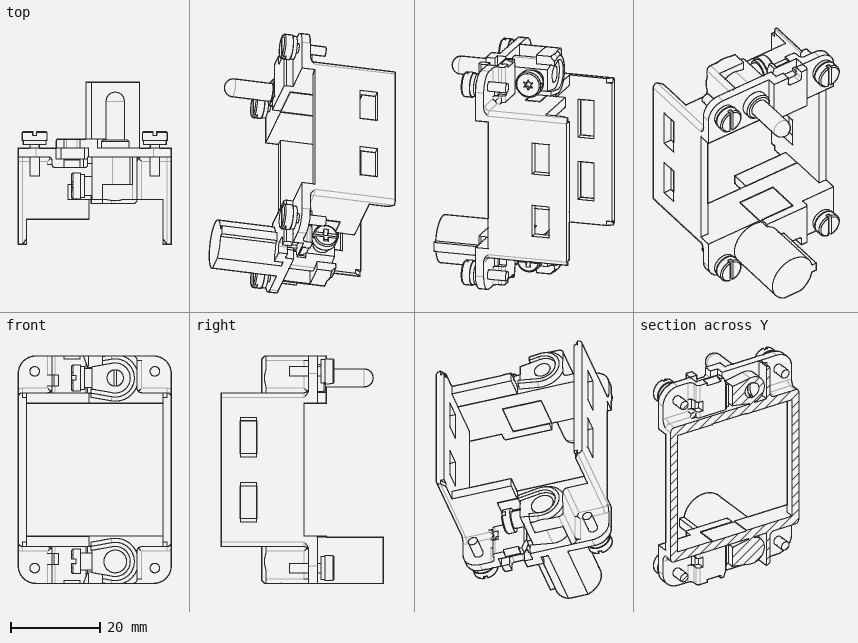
import cadquery as cq
import math

WIDTH = 34.3
HEIGHT = 51.0
HALF_WIDTH = WIDTH / 2
HALF_HEIGHT = HEIGHT / 2
BLEND = 1.0

FLANGE_THICKNESS = 1.95
FLANGE_CORNER_RADIUS = 4.0

WINDOW_HALF_WIDTH = 15.25
WINDOW_HALF_HEIGHT = 14.85
WALL_HALF_HEIGHT = 17.25
SIDE_WALL_BACK = -2.95
SIDE_WALL_FRONT = -21.5
BRIDGE_SPLIT_X = -1.3
BRIDGE_LONG_FRONT = -15.95
BRIDGE_SHORT_FRONT = -11.55
LEFT_LATCH_Y = (-17.35, -13.35)
LEFT_LATCH_Z = (3.65, 10.9)
RIGHT_LATCH_Y = (-17.25, -13.55)
RIGHT_LATCH_Z = (2.85, 11.75)
TONGUE_RELIEF = 0.1
RECESS_DEPTH = 0.15
FLOOR_RECESS_X = (-5.95, 3.1)
FLOOR_RECESS_FRONT = -7.75
TIP_NOTCH_LENGTH = 1.3
TIP_NOTCH_DEPTH = 0.9

CONTACT_X = 4.6
CONTACT_Z = 20.55
CONTACT_RADIUS = 3.35
CONTACT_LEFT = -0.6
CONTACT_TAPER = 10.0
GUARD_RADIUS = 5.2
GUARD_LEFT = -0.8
GUARD_BLOCK_LEFT = 1.8
GUARD_BACK = -8.1
GUARD_LIP = 0.9
RIB_RIGHT = 9.5
RIB_LEFT = 8.4
DRIVER_RECESS_LEFT = -5.95
PIN_SOCKET_RADIUS = 1.85
BUSH_SOCKET_RADIUS = 2.55
SOCKET_DEPTH = 6.1
DRIVER_SLOT_WIDTH = 0.6
DRIVER_SLOT_DEPTH = 2.55

PAD_LEFT = -9.55
PAD_RIGHT = -1.6
PAD_FRONT = -4.35
PAD_ROUND = 0.65
PAD_CHAMFER = 0.4
PAD_SLOPE_WIDTH = 0.95
PAD_SLOPE_HEIGHT = 2.55
PAD_NOTCH_RIGHT = -8.1
PAD_NOTCH_SLOPE = 0.4
PAD_NOTCH_Z = (18.75, 21.2)
PAD_NOTCH_BACK = -2.65
LABEL_SLOT_DEPTH = 0.65
FILLER_FRONT = -3.4
FILLER_TOP = 22.95
BLOCK_LEFT = -8.65
BLOCK_RIGHT = 0.6
BLOCK_BACK = 2.05
BLOCK_CHAMFER_X = 0.25
BLOCK_CHAMFER_Y = 0.5
STEP_RIGHT = 2.55
STEP_TOP = 17.35
GAP_X = (-6.9, -3.3)
GAP_ROUND = 0.6
POCKET_RIGHT = -1.4
POCKET_FRONT = -2.4
POCKET_DEPTH = 2.3
POCKET_CORE_X = (-7.6, -2.35)
POCKET_CORE_DEPTH = 3.05

PIN_RADIUS = 2.05
PIN_LENGTH = 12.55
COLLAR_RADIUS = 3.05
COLLAR_HEIGHT = 1.9
COLLAR_CHAMFER = 0.35
BUSH_RADIUS = 5.45
BUSH_LENGTH = 14.8
BUSH_KEY_LEFT = -2.0
BUSH_KEY_WIDTH = 2.1

SCREW_X = 13.45
SCREW_Z = 22.05
SCREW_RADIUS = 1.05
SCREW_TIP = -6.2
SCREW_COLLAR_RADIUS = 2.6
SCREW_COLLAR_FRONT = 0.8
SCREW_HEAD_RADIUS = 2.8
SCREW_HEAD_FRONT = 1.75
SCREW_HEAD_BACK = 3.75
SCREW_HEAD_CHAMFER = 0.3
SCREW_SLOT_WIDTH = 0.8
SCREW_SLOT_DEPTH = 0.9

CLAMP_Y = -8.45
CLAMP_LEFT = -5.2
CLAMP_HEAD_RIGHT = -3.15
CLAMP_COLLAR_RIGHT = -2.35
CLAMP_CHAMFER = 0.3
CLAMP_SOCKET_DEPTH = 1.0
UPPER_HEAD_RADIUS = 2.95
UPPER_COLLAR_RADIUS = 2.6
UPPER_SHANK_RADIUS = 2.15
STAR_OUTER_RADIUS = 1.15
STAR_INNER_RADIUS = 0.6
STAR_POINTS = 6
NICK_DEPTH = 0.4
NICK_WIDTH = 1.0
LOWER_HEAD_RADIUS = 2.75
LOWER_SHANK_RADIUS = 1.95
CROSS_WIDTH = 1.0
CROSS_LENGTH = 3.05


def box(x, y, z):
    """Box from three (low, high) pairs."""
    size = [pair[1] - pair[0] for pair in (x, y, z)]
    return cq.Workplane("XY").box(*size, centered=False).translate((x[0], y[0], z[0]))


def rod_y(x, z, radius, y_low, y_high):
    """Cylinder along Y."""
    return cq.Workplane("XZ", origin=(x, y_high, z)).circle(radius).extrude(y_high - y_low)


def rod_x(y, z, radius, x_low, x_high):
    """Cylinder along X."""
    return cq.Workplane("YZ", origin=(x_low, y, z)).circle(radius).extrude(x_high - x_low)


def both_ends(shape):
    """The shape together with its mirror image about Z = 0."""
    return shape.union(shape.mirror("XY"))


def both_sides(shape):
    """The shape together with its mirror image about X = 0."""
    return shape.union(shape.mirror("YZ"))


def cove(workplane, corner_u, corner_v, turn_u, turn_v):
    """Concave fillet outline for an inside corner that opens toward (turn_u, turn_v)."""
    end_u = corner_u + turn_u * BLEND
    end_v = corner_v + turn_v * BLEND
    bulge = BLEND * (1 - math.sqrt(0.5))
    return (
        workplane.moveTo(corner_u, corner_v)
        .lineTo(end_u, corner_v)
        .threePointArc((corner_u + turn_u * bulge, corner_v + turn_v * bulge), (corner_u, end_v))
        .close()
    )


def teardrop(radius, left, y_high):
    """Sketch of a round nose whose sides taper toward a flat left end, drawn about the contact axis."""
    taper = math.radians(CONTACT_TAPER)
    tangent_x = -radius * math.sin(taper)
    tangent_z = radius * math.cos(taper)
    left_x = left - CONTACT_X
    left_z = tangent_z - (tangent_x - left_x) * math.tan(taper)
    return (
        cq.Workplane("XZ", origin=(CONTACT_X, y_high, CONTACT_Z))
        .moveTo(left_x, left_z)
        .lineTo(tangent_x, tangent_z)
        .threePointArc((radius, 0), (tangent_x, -tangent_z))
        .lineTo(left_x, -left_z)
        .close()
    )


def flange():
    plate = box(
        (-HALF_WIDTH, HALF_WIDTH), (-FLANGE_THICKNESS, 0), (-HALF_HEIGHT, HALF_HEIGHT)
    ).edges("|Y").fillet(FLANGE_CORNER_RADIUS)
    above_window = box(
        (-HALF_WIDTH, HALF_WIDTH), (SIDE_WALL_BACK, 0), (WINDOW_HALF_HEIGHT, HALF_HEIGHT)
    )
    return plate.intersect(above_window)


def walls():
    tube = box(
        (-HALF_WIDTH, HALF_WIDTH), (SIDE_WALL_FRONT, 0), (-WALL_HALF_HEIGHT, WALL_HALF_HEIGHT)
    ).edges("|Y").fillet(BLEND)
    window_x = (-WINDOW_HALF_WIDTH, WINDOW_HALF_WIDTH)
    window_z = (-WINDOW_HALF_HEIGHT, WINDOW_HALF_HEIGHT)
    all_z = (-HALF_HEIGHT, HALF_HEIGHT)
    tube = tube.cut(box(window_x, (SIDE_WALL_FRONT, 0), window_z))
    tube = tube.cut(box((-HALF_WIDTH, HALF_WIDTH), (SIDE_WALL_BACK, 0), window_z))
    tube = tube.cut(box((-WINDOW_HALF_WIDTH, BRIDGE_SPLIT_X), (SIDE_WALL_FRONT, BRIDGE_LONG_FRONT), all_z))
    tube = tube.cut(box((BRIDGE_SPLIT_X, WINDOW_HALF_WIDTH), (SIDE_WALL_FRONT, BRIDGE_SHORT_FRONT), all_z))
    tube = tube.cut(both_ends(box((-HALF_WIDTH, 0), LEFT_LATCH_Y, LEFT_LATCH_Z)))
    tube = tube.cut(both_ends(box((0, HALF_WIDTH), RIGHT_LATCH_Y, RIGHT_LATCH_Z)))
    tongue_relief = box(
        (-WINDOW_HALF_WIDTH, BRIDGE_SPLIT_X),
        (BRIDGE_LONG_FRONT, BRIDGE_SHORT_FRONT),
        (WINDOW_HALF_HEIGHT, WINDOW_HALF_HEIGHT + TONGUE_RELIEF),
    )
    tube = tube.cut(both_ends(tongue_relief))
    tip_notch = (
        cq.Workplane("XY", origin=(0, 0, WALL_HALF_HEIGHT - BLEND))
        .moveTo(WINDOW_HALF_WIDTH, SIDE_WALL_FRONT)
        .lineTo(WINDOW_HALF_WIDTH + TIP_NOTCH_DEPTH, SIDE_WALL_FRONT)
        .lineTo(WINDOW_HALF_WIDTH, SIDE_WALL_FRONT + TIP_NOTCH_LENGTH)
        .close()
        .extrude(BLEND)
    )
    return tube.cut(both_ends(both_sides(tip_notch)))


def rib():
    """Upright rib right of the contact, blended into the flange and the wall."""
    plate = box(
        (RIB_LEFT, RIB_RIGHT), (BRIDGE_SHORT_FRONT, -FLANGE_THICKNESS), (WINDOW_HALF_HEIGHT, HALF_HEIGHT)
    )
    plate = plate.edges("|Y and >X and >Z").fillet(BLEND)
    cove_base = cq.Workplane("XY", origin=(0, 0, WALL_HALF_HEIGHT))
    cove_height = HALF_HEIGHT - BLEND - WALL_HALF_HEIGHT
    to_flange = cove(cove_base, RIB_RIGHT, -FLANGE_THICKNESS, 1, -1).extrude(cove_height)
    to_wall = cove(cq.Workplane("XZ"), RIB_RIGHT, WALL_HALF_HEIGHT, 1, 1).extrude(-BRIDGE_SHORT_FRONT)
    return plate.union(to_flange).union(to_wall)


def wall_coves():
    """Fillets between the flange and the wall, carried round the side corners."""
    strips = cq.Workplane("XY")
    blend_end = HALF_WIDTH - BLEND
    for x_low, x_high in ((-blend_end, PAD_LEFT), (RIB_RIGHT, blend_end)):
        start = cq.Workplane("YZ", origin=(x_low, 0, 0))
        profile = cove(start, -FLANGE_THICKNESS, WALL_HALF_HEIGHT, -1, 1)
        strips = strips.union(profile.extrude(x_high - x_low))
    corner_start = cq.Workplane("YZ", origin=(blend_end, 0, WALL_HALF_HEIGHT - BLEND))
    corner = cove(corner_start, -FLANGE_THICKNESS, BLEND, -1, 1).revolve(360, (0, 0), (1, 0))
    corner = corner.intersect(
        box(
            (blend_end, HALF_WIDTH),
            (SIDE_WALL_FRONT, 0),
            (WALL_HALF_HEIGHT - BLEND, WALL_HALF_HEIGHT + BLEND),
        )
    )
    return strips.union(both_sides(corner))


def coding_pad():
    """Thick pad on the front of the flange, with a rounded left side and a chamfered right edge."""
    height = HALF_HEIGHT - WINDOW_HALF_HEIGHT
    base = cq.Workplane("XY", origin=(0, 0, WINDOW_HALF_HEIGHT))
    round_mid = PAD_ROUND * (1 - math.sqrt(0.5))
    body = (
        base.moveTo(PAD_LEFT, 0)
        .lineTo(PAD_LEFT, PAD_FRONT + PAD_ROUND)
        .threePointArc(
            (PAD_LEFT + round_mid, PAD_FRONT + round_mid), (PAD_LEFT + PAD_ROUND, PAD_FRONT)
        )
        .lineTo(PAD_RIGHT - PAD_CHAMFER, PAD_FRONT)
        .lineTo(PAD_RIGHT, PAD_FRONT + PAD_CHAMFER)
        .lineTo(PAD_RIGHT, 0)
        .close()
        .extrude(height)
    )
    body = body.union(cove(base, PAD_LEFT, -FLANGE_THICKNESS, -1, -1).extrude(height))
    side_start = cq.Workplane("XZ", origin=(0, -FLANGE_THICKNESS, 0))
    side_length = -PAD_FRONT - PAD_ROUND - FLANGE_THICKNESS
    body = body.union(cove(side_start, PAD_LEFT, WALL_HALF_HEIGHT, -1, 1).extrude(side_length))
    side_notch = (
        cq.Workplane("XY", origin=(0, 0, PAD_NOTCH_Z[0]))
        .moveTo(PAD_LEFT - BLEND, -FLANGE_THICKNESS)
        .lineTo(PAD_LEFT, -FLANGE_THICKNESS)
        .lineTo(PAD_LEFT + PAD_NOTCH_SLOPE, PAD_NOTCH_BACK)
        .lineTo(PAD_NOTCH_RIGHT, PAD_NOTCH_BACK)
        .lineTo(PAD_NOTCH_RIGHT, PAD_FRONT)
        .lineTo(PAD_LEFT - BLEND, PAD_FRONT)
        .close()
        .extrude(PAD_NOTCH_Z[1] - PAD_NOTCH_Z[0])
    )
    body = body.cut(side_notch)
    label_slot = (
        cq.Workplane("YZ", origin=(GAP_X[0], 0, HALF_HEIGHT))
        .moveTo(PAD_NOTCH_BACK, 0)
        .lineTo(PAD_FRONT, 0)
        .lineTo(PAD_FRONT, -LABEL_SLOT_DEPTH)
        .close()
        .extrude(GAP_X[1] - GAP_X[0])
    )
    end_slope = (
        cq.Workplane("XZ", origin=(PAD_RIGHT, POCKET_FRONT, HALF_HEIGHT))
        .lineTo(-PAD_SLOPE_WIDTH, 0)
        .lineTo(0, -PAD_SLOPE_HEIGHT)
        .close()
        .extrude(POCKET_FRONT - PAD_FRONT)
    )
    filler = box((PAD_RIGHT, CONTACT_LEFT), (FILLER_FRONT, 0), (WALL_HALF_HEIGHT, FILLER_TOP))
    return body.cut(label_slot).cut(end_slope).union(filler)


def coding_block():
    """Raised block on the back of the flange."""
    profile = (
        cq.Workplane("XY", origin=(0, 0, WINDOW_HALF_HEIGHT))
        .moveTo(BLOCK_LEFT, 0)
        .lineTo(BLOCK_LEFT, BLOCK_BACK - BLOCK_CHAMFER_Y)
        .lineTo(BLOCK_LEFT + BLOCK_CHAMFER_X, BLOCK_BACK)
        .lineTo(BLOCK_RIGHT, BLOCK_BACK)
        .lineTo(BLOCK_RIGHT, 0)
        .close()
    )
    block = profile.extrude(HALF_HEIGHT - WINDOW_HALF_HEIGHT)
    return block.union(box((BLOCK_RIGHT, STEP_RIGHT), (0, BLOCK_BACK), (WINDOW_HALF_HEIGHT, STEP_TOP)))


def coding_pocket():
    """Outward-open pocket in the flange, deeper in its middle, with a gap through the block behind it."""
    pocket_z = (HALF_HEIGHT - POCKET_DEPTH, HALF_HEIGHT)
    pocket = box((BLOCK_LEFT, POCKET_RIGHT), (POCKET_FRONT, 0), pocket_z)
    core_z = (HALF_HEIGHT - POCKET_CORE_DEPTH, HALF_HEIGHT)
    core = box(POCKET_CORE_X, (POCKET_FRONT, 0), core_z)
    gap = box(GAP_X, (0, BLOCK_BACK), pocket_z).edges("|Y and <Z").fillet(GAP_ROUND)
    return pocket.union(core).union(gap)


def guard_ring():
    """Chamfered ring in front of the contact, backed by a block that rises to the flange edge."""
    outer_left = GUARD_LEFT - GUARD_RADIUS
    ring = teardrop(GUARD_RADIUS, outer_left, GUARD_BACK).extrude(GUARD_BACK - BRIDGE_SHORT_FRONT)
    lip = teardrop(GUARD_RADIUS, outer_left, BRIDGE_SHORT_FRONT).extrude(GUARD_LIP, taper=45)
    ring_y = (BRIDGE_SHORT_FRONT - GUARD_LIP, GUARD_BACK)
    lower_half = box((GUARD_LEFT, RIB_RIGHT), ring_y, (WINDOW_HALF_HEIGHT, CONTACT_Z))
    upper_half = box((GUARD_BLOCK_LEFT, RIB_RIGHT), ring_y, (CONTACT_Z, HALF_HEIGHT))
    block = box((GUARD_BLOCK_LEFT, RIB_LEFT), (BRIDGE_SHORT_FRONT, GUARD_BACK), (CONTACT_Z, HALF_HEIGHT))
    guard = ring.union(lip).intersect(lower_half.union(upper_half)).union(block)
    return guard.cut(teardrop(CONTACT_RADIUS, outer_left, 0).extrude(-ring_y[0]))


def contact():
    return teardrop(CONTACT_RADIUS, CONTACT_LEFT, 0).extrude(-BRIDGE_SHORT_FRONT)


def driver_recess():
    """Shallow recess in the wall beside the contact screw."""
    return box(
        (DRIVER_RECESS_LEFT, GUARD_LEFT),
        (BRIDGE_SHORT_FRONT, GUARD_BACK),
        (WALL_HALF_HEIGHT - RECESS_DEPTH, WALL_HALF_HEIGHT),
    )


def floor_recess():
    """Shallow recess in the wall face that bounds the window."""
    return box(
        FLOOR_RECESS_X,
        (FLOOR_RECESS_FRONT, 0),
        (WINDOW_HALF_HEIGHT, WINDOW_HALF_HEIGHT + RECESS_DEPTH),
    )


def flange_screw():
    screw = rod_y(SCREW_X, SCREW_Z, SCREW_RADIUS, SCREW_TIP, SCREW_HEAD_BACK)
    screw = screw.union(rod_y(SCREW_X, SCREW_Z, SCREW_COLLAR_RADIUS, SCREW_COLLAR_FRONT, SCREW_HEAD_BACK))
    head = rod_y(SCREW_X, SCREW_Z, SCREW_HEAD_RADIUS, SCREW_HEAD_FRONT, SCREW_HEAD_BACK)
    screw = screw.union(head).faces(">Y").chamfer(SCREW_HEAD_CHAMFER)
    return screw.cut(
        box(
            (SCREW_X - SCREW_SLOT_WIDTH / 2, SCREW_X + SCREW_SLOT_WIDTH / 2),
            (SCREW_HEAD_BACK - SCREW_SLOT_DEPTH, SCREW_HEAD_BACK),
            (SCREW_Z - SCREW_HEAD_RADIUS, SCREW_Z + SCREW_HEAD_RADIUS),
        )
    )


def clamp_head(z, radius):
    head = rod_x(CLAMP_Y, z, radius, CLAMP_LEFT, CLAMP_HEAD_RIGHT)
    return head.faces("<X").chamfer(CLAMP_CHAMFER)


def upper_clamp_screw():
    """Contact screw with a collar, a star socket and a nick in its head."""
    screw = clamp_head(CONTACT_Z, UPPER_HEAD_RADIUS)
    screw = screw.union(rod_x(CLAMP_Y, CONTACT_Z, UPPER_COLLAR_RADIUS, CLAMP_HEAD_RIGHT, CLAMP_COLLAR_RIGHT))
    screw = screw.union(rod_x(CLAMP_Y, CONTACT_Z, UPPER_SHANK_RADIUS, CLAMP_COLLAR_RIGHT, CONTACT_LEFT))
    corners = []
    for corner in range(2 * STAR_POINTS):
        radius = STAR_OUTER_RADIUS if corner % 2 == 0 else STAR_INNER_RADIUS
        angle = math.pi * (corner / STAR_POINTS + 0.5)
        corners.append((radius * math.cos(angle), radius * math.sin(angle)))
    star = cq.Workplane("YZ", origin=(CLAMP_LEFT, CLAMP_Y, CONTACT_Z)).polyline(corners).close()
    nick = box(
        (CLAMP_LEFT, CLAMP_LEFT + CLAMP_SOCKET_DEPTH),
        (CLAMP_Y - UPPER_HEAD_RADIUS, CLAMP_Y - UPPER_HEAD_RADIUS + NICK_DEPTH),
        (CONTACT_Z - NICK_WIDTH / 2, CONTACT_Z + NICK_WIDTH / 2),
    )
    return screw.cut(star.extrude(CLAMP_SOCKET_DEPTH)).cut(nick)


def lower_clamp_screw():
    """Contact screw with a slot across its head and a short cross slot with sloping ends."""
    screw = clamp_head(-CONTACT_Z, LOWER_HEAD_RADIUS)
    screw = screw.union(rod_x(CLAMP_Y, -CONTACT_Z, LOWER_SHANK_RADIUS, CLAMP_HEAD_RIGHT, CONTACT_LEFT))
    face = cq.Workplane("YZ", origin=(CLAMP_LEFT, CLAMP_Y, -CONTACT_Z))
    slot = face.rect(2 * LOWER_HEAD_RADIUS, CROSS_WIDTH).extrude(CLAMP_SOCKET_DEPTH)
    cross = (
        cq.Workplane("XZ", origin=(CLAMP_LEFT, CLAMP_Y + CROSS_WIDTH / 2, -CONTACT_Z))
        .moveTo(0, CROSS_LENGTH / 2)
        .lineTo(CLAMP_SOCKET_DEPTH, CROSS_WIDTH / 2)
        .lineTo(CLAMP_SOCKET_DEPTH, -CROSS_WIDTH / 2)
        .lineTo(0, -CROSS_LENGTH / 2)
        .close()
        .extrude(CROSS_WIDTH)
    )
    return screw.cut(slot).cut(cross)


def guide_pin():
    pin = rod_y(CONTACT_X, CONTACT_Z, PIN_RADIUS, 0, PIN_LENGTH - PIN_RADIUS)
    tip = cq.Workplane("XY").sphere(PIN_RADIUS).translate((CONTACT_X, PIN_LENGTH - PIN_RADIUS, CONTACT_Z))
    collar = rod_y(CONTACT_X, CONTACT_Z, COLLAR_RADIUS, 0, COLLAR_HEIGHT)
    return pin.union(tip).union(collar.faces(">Y").chamfer(COLLAR_CHAMFER))


def guide_bush():
    """Bush with a flat on the outer edge of the part and a key on its left."""
    bush = rod_y(CONTACT_X, -CONTACT_Z, BUSH_RADIUS, 0, BUSH_LENGTH)
    key = box(
        (BUSH_KEY_LEFT, CONTACT_X),
        (0, BUSH_LENGTH),
        (-CONTACT_Z - BUSH_KEY_WIDTH / 2, -CONTACT_Z + BUSH_KEY_WIDTH / 2),
    )
    below_edge = box(
        (CONTACT_X - BUSH_RADIUS, CONTACT_X + BUSH_RADIUS),
        (0, BUSH_LENGTH),
        (-HALF_HEIGHT - BUSH_RADIUS, -HALF_HEIGHT),
    )
    return bush.union(key).cut(below_edge)


def contact_socket(z, radius):
    """Blind round socket in the front of a contact."""
    return rod_y(CONTACT_X, z, radius, BRIDGE_SHORT_FRONT, BRIDGE_SHORT_FRONT + SOCKET_DEPTH)


def pin_socket_end():
    """Round end of the upper socket."""
    return cq.Workplane("XY").sphere(PIN_SOCKET_RADIUS).translate(
        (CONTACT_X, BRIDGE_SHORT_FRONT + SOCKET_DEPTH, CONTACT_Z)
    )


def pin_driver_slot():
    """Driver slot in the end of the upper socket."""
    floor_y = BRIDGE_SHORT_FRONT + SOCKET_DEPTH
    return box(
        (CONTACT_X - DRIVER_SLOT_WIDTH / 2, CONTACT_X + DRIVER_SLOT_WIDTH / 2),
        (floor_y, floor_y + DRIVER_SLOT_DEPTH),
        (CONTACT_Z - PIN_SOCKET_RADIUS, CONTACT_Z + PIN_SOCKET_RADIUS),
    )


upper_end = flange()
for feature in (rib(), wall_coves(), coding_pad(), coding_block()):
    upper_end = upper_end.union(feature)
upper_end = upper_end.cut(coding_pocket().union(floor_recess()))
for feature in (guard_ring(), contact(), both_sides(flange_screw())):
    upper_end = upper_end.union(feature)

frame = walls().cut(both_ends(driver_recess().union(floor_recess()))).union(both_ends(upper_end))
for feature in (guide_pin(), guide_bush(), upper_clamp_screw(), lower_clamp_screw()):
    frame = frame.union(feature)
for socket in (
    contact_socket(CONTACT_Z, PIN_SOCKET_RADIUS),
    pin_socket_end(),
    pin_driver_slot(),
    contact_socket(-CONTACT_Z, BUSH_SOCKET_RADIUS),
):
    frame = frame.cut(socket)

result = frame